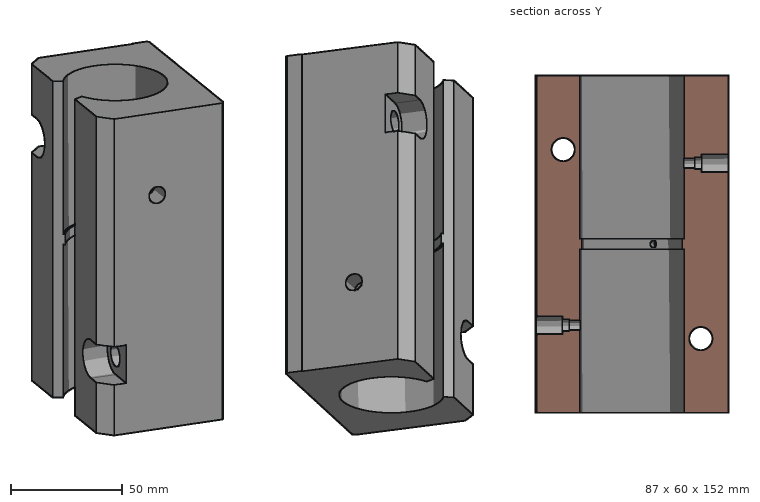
import cadquery as cq
import math

length = 152.0
depth = 60.0
half_width = 43.5
pad_height = 0.5
pad_width = 7.9
front_chamfer = 6.1
back_chamfer = 0.9

bore_radius = 23.5
bore_y = 25.2
opening_half_angle = 27.0
rib_radius = 22.6
rib_width = 4.9
rib_hole_diameter = 3.0
rib_hole_angle = 25.0
rib_hole_depth = 4.5

mount_x = 31.0
mount_offset_z = 42.5
mount_diameter = 10.3
recess_radius = 9.1
recess_depth = 12.0

port_y = 27.2
port_offset_z = 36.5
port_entry_diameter = 7.9
port_entry_depth = 12.2
port_step_diameter = 5.2
port_step_depth = 15.2
port_inner_diameter = 4.3

mid_z = length / 2
body_left = -half_width + pad_height


def make_block():
    """Extrude the chamfered outline, including the strip on the -X side."""
    outline = [
        (body_left + front_chamfer, 0),
        (half_width - front_chamfer, 0),
        (half_width, front_chamfer),
        (half_width, depth - back_chamfer),
        (half_width - back_chamfer, depth),
        (-half_width + back_chamfer, depth),
        (-half_width, depth - back_chamfer),
        (-half_width, depth - pad_width),
        (body_left, depth - pad_width),
        (body_left, front_chamfer),
    ]
    return cq.Workplane("XY").polyline(outline).close().extrude(length)


def bore_cutter(radius, bottom, height):
    """Cylinder joined to a wedge whose sides spread from the bore axis."""
    origin = (0, 0, bottom)
    opening_x = bore_y * math.tan(math.radians(opening_half_angle))
    cylinder = cq.Workplane("XY", origin=origin).center(0, bore_y).circle(radius).extrude(height)
    wedge = (
        cq.Workplane("XY", origin=origin)
        .polyline([(0, bore_y), (-opening_x, 0), (opening_x, 0)])
        .close()
        .extrude(height)
    )
    return cylinder.union(wedge)


def mount_cutter(side, z):
    """Through hole along Y and a round-ended recess open to the given side."""
    front = cq.Workplane("XZ", origin=(side * mount_x, 0, z))
    run_out = half_width - mount_x
    hole = front.circle(mount_diameter / 2).extrude(-depth)
    round_end = front.circle(recess_radius).extrude(-recess_depth)
    channel = front.center(side * run_out / 2, 0).rect(run_out, 2 * recess_radius).extrude(-recess_depth)
    return hole.union(round_end).union(channel)


def side_hole(side, z, diameter, hole_depth):
    """Cylinder drilled inward along X from the given side."""
    start = cq.Vector(side * half_width, port_y, z)
    inward = cq.Vector(-side, 0, 0)
    return cq.Workplane(cq.Solid.makeCylinder(diameter / 2, hole_depth, start, inward))


result = make_block()

land_length = (length - rib_width) / 2
result = result.cut(bore_cutter(rib_radius, 0, length))
for bottom in (0, length - land_length):
    result = result.cut(bore_cutter(bore_radius, bottom, land_length))

for side in (-1, 1):
    result = result.cut(mount_cutter(side, mid_z - side * mount_offset_z))
    port_z = mid_z + side * port_offset_z
    port_steps = [
        (port_entry_diameter, port_entry_depth),
        (port_step_diameter, port_step_depth),
        (port_inner_diameter, half_width - bore_radius / 2),
    ]
    for diameter, hole_depth in port_steps:
        result = result.cut(side_hole(side, port_z, diameter, hole_depth))

hole_angle = math.radians(rib_hole_angle)
rib_hole = cq.Solid.makeCylinder(
    rib_hole_diameter / 2,
    rib_radius + rib_hole_depth,
    cq.Vector(0, bore_y, mid_z),
    cq.Vector(math.sin(hole_angle), math.cos(hole_angle), 0),
)
result = result.cut(cq.Workplane(rib_hole))